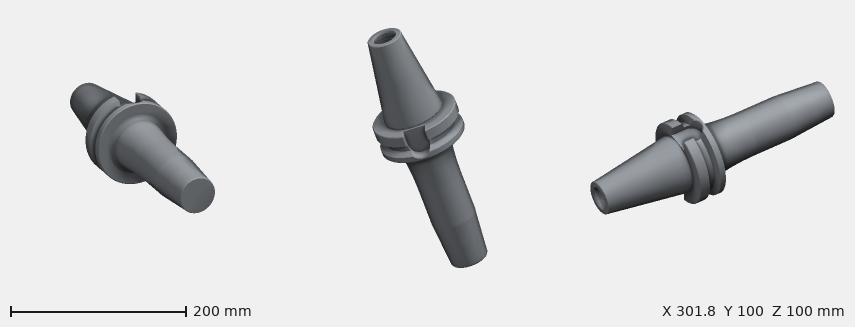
import cadquery as cq
import math

TAPER_LENGTH = 101.8
PROJECTION = 200.0
GAUGE_RADIUS = 69.85 / 2
TAPER_SLOPE = 7 / 48
TAPER_END_CHAMFER = 0.8

RELIEF_DROP = 0.6
RELIEF_CHAMFER_LENGTH = 0.6
RELIEF_FILLET = 0.8

FLANGE_FRONT = 3.0
FLANGE_BACK = 38.0
FLANGE_RADIUS = 50.0
FLANGE_CHAMFER = 1.0
GROOVE_CENTER = 23.2
GROOVE_ROOT_RADIUS = 42.0
GROOVE_ROOT_WIDTH = 7.0
GROOVE_RIM_WIDTH = 14.6

NECK_FILLET_START_RADIUS = 36.3
NECK_BLEND_START = 45.3
NECK_BLEND_RADIUS = 30.5
BODY_RADIUS = 26.5
BODY_START = 93.0
NOSE_RADIUS = 22.0
NOSE_ANGLE = 4.5
NOSE_CHAMFER_LENGTH = 1.4
NOSE_CHAMFER_DEPTH = 0.7

SLOT_WIDTH = 25.7
SLOT_FLOOR = 35.4
SLOT_END = 34.3
SLOT_CHAMFER = 1.0
RIM_TOLERANCE = 0.3
MIN_RIM_EDGE_LENGTH = 2.0

BORE_MOUTH_RADIUS = 14.2
BORE_MOUTH_CHAMFER = 2.0
PILOT_RADIUS = 13.0
PILOT_DEPTH = 9.5
RECESS_RADIUS = 12.0
RECESS_DEPTH = 12.5
RECESS_CONE_LENGTH = 2.0
THREAD_RADIUS = 10.5
THREAD_DEPTH = 50.0
DRILL_POINT_ANGLE = 118.0

ARC_MIDDLE_INSET = 1 - math.sqrt(0.5)


def make_body():
    """Revolve the outer profile about X."""
    taper_end = -TAPER_LENGTH
    taper_end_radius = GAUGE_RADIUS - TAPER_LENGTH * TAPER_SLOPE
    relief_radius = GAUGE_RADIUS - RELIEF_DROP
    flange_edge_radius = FLANGE_RADIUS - FLANGE_CHAMFER

    root_half = GROOVE_ROOT_WIDTH / 2
    rim_half = GROOVE_RIM_WIDTH / 2

    fillet_width = NECK_BLEND_START - FLANGE_BACK
    fillet_height = NECK_FILLET_START_RADIUS - NECK_BLEND_RADIUS
    fillet_middle = (
        FLANGE_BACK + fillet_width * ARC_MIDDLE_INSET,
        NECK_BLEND_RADIUS + fillet_height * ARC_MIDDLE_INSET,
    )

    blend_run = BODY_START - NECK_BLEND_START
    blend_rise = NECK_BLEND_RADIUS - BODY_RADIUS
    blend_radius = (blend_run**2 + blend_rise**2) / (2 * blend_rise)
    half_run = blend_run / 2
    blend_middle = (
        BODY_START - half_run,
        BODY_RADIUS + blend_radius - math.sqrt(blend_radius**2 - half_run**2),
    )

    nose_length = (BODY_RADIUS - NOSE_RADIUS) / math.tan(math.radians(NOSE_ANGLE))
    nose_chamfer_start = PROJECTION - NOSE_CHAMFER_LENGTH
    nose_chamfer_radius = NOSE_RADIUS + NOSE_CHAMFER_LENGTH * math.tan(math.radians(NOSE_ANGLE))

    relief_inset = RELIEF_FILLET * ARC_MIDDLE_INSET
    profile = (
        cq.Workplane("XY")
        .moveTo(taper_end, 0)
        .lineTo(taper_end, taper_end_radius - TAPER_END_CHAMFER)
        .lineTo(taper_end + TAPER_END_CHAMFER, taper_end_radius + TAPER_END_CHAMFER * TAPER_SLOPE)
        .lineTo(0, GAUGE_RADIUS)
        .lineTo(RELIEF_CHAMFER_LENGTH, relief_radius)
        .lineTo(FLANGE_FRONT - RELIEF_FILLET, relief_radius)
        .threePointArc(
            (FLANGE_FRONT - relief_inset, relief_radius + relief_inset),
            (FLANGE_FRONT, relief_radius + RELIEF_FILLET),
        )
        .lineTo(FLANGE_FRONT, flange_edge_radius)
        .lineTo(FLANGE_FRONT + FLANGE_CHAMFER, FLANGE_RADIUS)
        .lineTo(GROOVE_CENTER - rim_half, FLANGE_RADIUS)
        .lineTo(GROOVE_CENTER - root_half, GROOVE_ROOT_RADIUS)
        .lineTo(GROOVE_CENTER + root_half, GROOVE_ROOT_RADIUS)
        .lineTo(GROOVE_CENTER + rim_half, FLANGE_RADIUS)
        .lineTo(FLANGE_BACK - FLANGE_CHAMFER, FLANGE_RADIUS)
        .lineTo(FLANGE_BACK, flange_edge_radius)
        .lineTo(FLANGE_BACK, NECK_FILLET_START_RADIUS)
        .threePointArc(fillet_middle, (NECK_BLEND_START, NECK_BLEND_RADIUS))
        .threePointArc(blend_middle, (BODY_START, BODY_RADIUS))
        .lineTo(PROJECTION - nose_length, BODY_RADIUS)
        .lineTo(nose_chamfer_start, nose_chamfer_radius)
        .lineTo(PROJECTION, NOSE_RADIUS - NOSE_CHAMFER_DEPTH)
        .lineTo(PROJECTION, 0)
        .close()
    )
    return profile.revolve(360, (0, 0, 0), (1, 0, 0))


def make_bore():
    """Blind drawbar hole: chamfered mouth, pilot, recess, tapping bore and drill point."""
    start = -TAPER_LENGTH
    pilot_end = start + PILOT_DEPTH
    thread_end = start + THREAD_DEPTH
    recess_end = start + RECESS_DEPTH
    drill_point = THREAD_RADIUS / math.tan(math.radians(DRILL_POINT_ANGLE / 2))
    profile = (
        cq.Workplane("XY")
        .moveTo(start, 0)
        .lineTo(start, BORE_MOUTH_RADIUS)
        .lineTo(start + BORE_MOUTH_CHAMFER, PILOT_RADIUS)
        .lineTo(pilot_end, PILOT_RADIUS)
        .lineTo(pilot_end, RECESS_RADIUS)
        .lineTo(recess_end, RECESS_RADIUS)
        .lineTo(recess_end + RECESS_CONE_LENGTH, THREAD_RADIUS)
        .lineTo(thread_end, THREAD_RADIUS)
        .lineTo(thread_end + drill_point, 0)
        .close()
    )
    return profile.revolve(360, (0, 0, 0), (1, 0, 0))


def make_slot():
    """Cutter for the drive slot on the +Z side: open toward the taper, round
    at its far end and flared where it leaves the front face of the flange."""
    half = SLOT_WIDTH / 2
    height = FLANGE_RADIUS - SLOT_FLOOR
    straight_end = SLOT_END - half
    slot = (
        cq.Workplane("XY", origin=(0, 0, SLOT_FLOOR))
        .lineTo(0, half)
        .lineTo(straight_end, half)
        .threePointArc((SLOT_END, 0), (straight_end, -half))
        .lineTo(0, -half)
        .close()
        .extrude(height)
    )
    wide = half + SLOT_CHAMFER
    front_flare = (
        cq.Workplane("XY", origin=(0, 0, SLOT_FLOOR))
        .polyline([
            (FLANGE_FRONT, wide),
            (FLANGE_FRONT + SLOT_CHAMFER, half),
            (FLANGE_FRONT + SLOT_CHAMFER, -half),
            (FLANGE_FRONT, -wide),
        ])
        .close()
        .extrude(height)
    )
    return slot.union(front_flare)


def slot_rim_edges(body):
    """Edges where the slot walls meet the outer cylinder of the flange."""
    half = SLOT_WIDTH / 2

    def on_rim(edge):
        middle = edge.positionAt(0.5)
        radius = math.hypot(middle.y, middle.z)
        along_slot = edge.BoundingBox().xlen > MIN_RIM_EDGE_LENGTH
        within_slot = abs(middle.y) < half + RIM_TOLERANCE
        return along_slot and within_slot and abs(radius - FLANGE_RADIUS) < RIM_TOLERANCE

    return body.newObject([edge for edge in body.edges().vals() if on_rim(edge)])


slot_top = make_slot()
slot_bottom = slot_top.rotate((0, 0, 0), (1, 0, 0), 180)
body = make_body().cut(slot_top).cut(slot_bottom)
result = slot_rim_edges(body).chamfer(SLOT_CHAMFER).cut(make_bore())